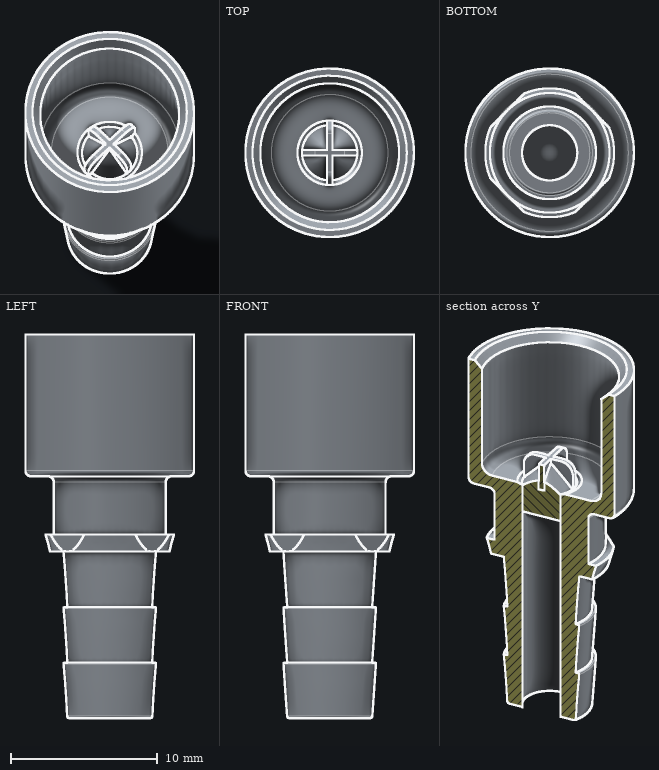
import cadquery as cq

total_height = 26.2
cup_bottom_z = 16.5
flange_top_z = 12.55
flange_bottom_z = 11.38

cup_outer_radius = 5.77
cup_inner_radius = 4.75
cup_edge_round = 0.4
cup_mouth_chamfer = 0.52
cup_floor_fillet = 0.75
cup_floor_z = cup_bottom_z + cup_outer_radius - cup_inner_radius

neck_radius = 3.83
neck_fillet = 0.4
flange_top_radius = 4.4
flange_bottom_radius = 4.1
flange_flat_angle = 45.0

barb_count = 3
barb_pitch = flange_bottom_z / barb_count
barb_top_radius = 3.17
barb_bottom_radius = 2.9
barb_lip_round = 0.08
hose_end_round = 0.18

bore_radius = 1.9
seat_radius = 2.2
seat_depth = 0.13
seat_bottom_z = cup_floor_z - seat_depth

cone_height = 1.9
plug_length = 2.1

fin_thickness = 0.4
fin_height = 1.97
fin_end_round = 0.9
fin_half_length_x = bore_radius
fin_half_length_y = seat_radius


def make_barbs():
    """Stack of downward-tapering barbs, rounded at each open lip and at the hose end."""
    barbs = cq.Workplane("XY")
    for index in range(barb_count):
        barb = (
            cq.Workplane("XY", origin=(0, 0, index * barb_pitch))
            .circle(barb_bottom_radius)
            .workplane(offset=barb_pitch)
            .circle(barb_top_radius)
            .loft()
        )
        if index == 0:
            barb = barb.faces("<Z").edges().fillet(hose_end_round)
        if index < barb_count - 1:
            barb = barb.faces(">Z").edges().fillet(barb_lip_round)
        barbs = barbs.union(barb)
    return barbs


def make_flange():
    """Tapered flange with four upright flats on the diagonals that touch its smaller bottom circle."""
    height = flange_top_z - flange_bottom_z
    flange = (
        cq.Workplane("XY", origin=(0, 0, flange_bottom_z))
        .circle(flange_bottom_radius)
        .workplane(offset=height)
        .circle(flange_top_radius)
        .loft()
    )
    flats = (
        cq.Workplane("XY", origin=(0, 0, flange_bottom_z))
        .rect(2 * flange_bottom_radius, 2 * flange_bottom_radius)
        .extrude(height)
        .rotate((0, 0, 0), (0, 0, 1), flange_flat_angle)
    )
    return flange.intersect(flats)


def make_neck_and_cup():
    """Solid neck and cup turned as one piece, with the cup's inside hollowed out."""
    outer = (
        cq.Workplane("XZ")
        .moveTo(0, flange_top_z)
        .lineTo(neck_radius, flange_top_z)
        .lineTo(neck_radius, cup_bottom_z - neck_fillet)
        .radiusArc((neck_radius + neck_fillet, cup_bottom_z), neck_fillet)
        .lineTo(cup_outer_radius - cup_edge_round, cup_bottom_z)
        .radiusArc((cup_outer_radius, cup_bottom_z + cup_edge_round), -cup_edge_round)
        .lineTo(cup_outer_radius, total_height)
        .lineTo(0, total_height)
        .close()
        .revolve(axisStart=(0, 0, 0), axisEnd=(0, 1, 0))
    )
    cavity = (
        cq.Workplane("XZ")
        .moveTo(0, cup_floor_z)
        .lineTo(cup_inner_radius - cup_floor_fillet, cup_floor_z)
        .radiusArc((cup_inner_radius, cup_floor_z + cup_floor_fillet), -cup_floor_fillet)
        .lineTo(cup_inner_radius, total_height - cup_mouth_chamfer)
        .lineTo(cup_inner_radius + cup_mouth_chamfer, total_height)
        .lineTo(0, total_height)
        .close()
        .revolve(axisStart=(0, 0, 0), axisEnd=(0, 1, 0))
    )
    return outer.cut(cavity)


def make_bore():
    """Straight through bore that opens into a conical seat at the cup floor."""
    return (
        cq.Workplane("XZ")
        .moveTo(0, 0)
        .lineTo(bore_radius, 0)
        .lineTo(bore_radius, seat_bottom_z)
        .lineTo(seat_radius, cup_floor_z)
        .lineTo(0, cup_floor_z)
        .close()
        .revolve(axisStart=(0, 0, 0), axisEnd=(0, 1, 0))
    )


def make_fin(plane, half_length):
    """Upright fin with a flat top whose two ends are rounded over."""
    top_z = seat_bottom_z + fin_height
    shoulder_z = top_z - fin_end_round
    flat_half_length = half_length - fin_end_round
    return (
        cq.Workplane(plane)
        .moveTo(-half_length, seat_bottom_z)
        .lineTo(half_length, seat_bottom_z)
        .lineTo(half_length, shoulder_z)
        .radiusArc((flat_half_length, top_z), -fin_end_round)
        .lineTo(-flat_half_length, top_z)
        .radiusArc((-half_length, shoulder_z), -fin_end_round)
        .close()
        .extrude(fin_thickness / 2, both=True)
    )


def make_cross():
    """Two fins crossing on the axis, the longer one reaching across the seat."""
    return make_fin("XZ", fin_half_length_x).union(make_fin("YZ", fin_half_length_y))


def make_plug(cross):
    """Cylinder with a conical top, slotted to take the cross."""
    plug = (
        cq.Workplane("XZ")
        .moveTo(0, seat_bottom_z - plug_length)
        .lineTo(bore_radius, seat_bottom_z - plug_length)
        .lineTo(bore_radius, seat_bottom_z)
        .lineTo(0, seat_bottom_z + cone_height)
        .close()
        .revolve(axisStart=(0, 0, 0), axisEnd=(0, 1, 0))
    )
    return plug.cut(cross)


def make_housing(cross):
    """Cup, neck, flange and barbs in one piece, with notches in the seat for the longer fin."""
    housing = make_barbs().union(make_flange()).union(make_neck_and_cup())
    return housing.cut(make_bore()).cut(cross)


cross = make_cross()
plug = make_plug(cross)
housing = make_housing(cross)

result = cq.Compound.makeCompound([housing.val(), plug.val(), cross.val()])